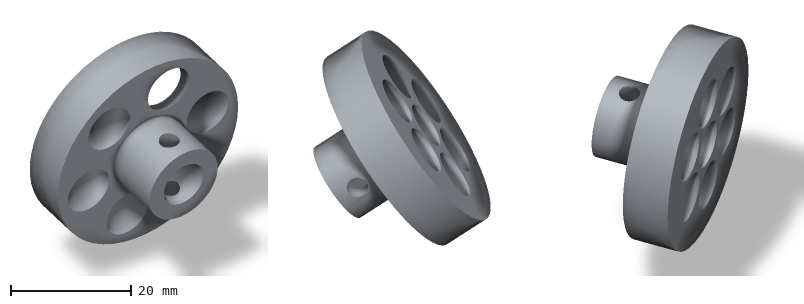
import cadquery as cq
import math

disc_diameter = 37
disc_thickness = 8.0
total_length = 18.0
hub_diameter = 14.0
bore_diameter = 8.15

slanted_hole_count = 6
slanted_hole_diameter = 8.5
slanted_hole_circle_radius = 9.5
slant_angle = 45

cross_hole_diameter = 3.5
cross_hole_x = 14.0


def make_body():
    disc = cq.Workplane("YZ").circle(disc_diameter / 2).extrude(disc_thickness)
    hub = cq.Workplane("YZ").circle(hub_diameter / 2).extrude(total_length)
    bore = cq.Workplane("YZ").circle(bore_diameter / 2).extrude(total_length)
    return disc.union(hub).cut(bore)


def make_slanted_hole(angle):
    """Oblique prism through the disc, leaning tangentially around the X axis."""
    radial = cq.Vector(0, math.cos(angle), math.sin(angle))
    tangent = cq.Vector(0, -math.sin(angle), math.cos(angle))
    axis = cq.Vector(1, 0, 0)
    shift = disc_thickness * math.tan(math.radians(slant_angle))
    mouth = cq.Wire.makeCircle(
        slanted_hole_diameter / 2, radial * slanted_hole_circle_radius, axis
    )
    return cq.Solid.extrudeLinear(mouth, [], axis * disc_thickness + tangent * shift)


def make_cross_hole():
    return (
        cq.Workplane("XY")
        .center(cross_hole_x, 0)
        .circle(cross_hole_diameter / 2)
        .extrude(hub_diameter / 2, both=True)
    )


result = make_body().cut(make_cross_hole())
for index in range(slanted_hole_count):
    hole_angle = math.pi / 2 + index * 2 * math.pi / slanted_hole_count
    result = result.cut(cq.Workplane(make_slanted_hole(hole_angle)))